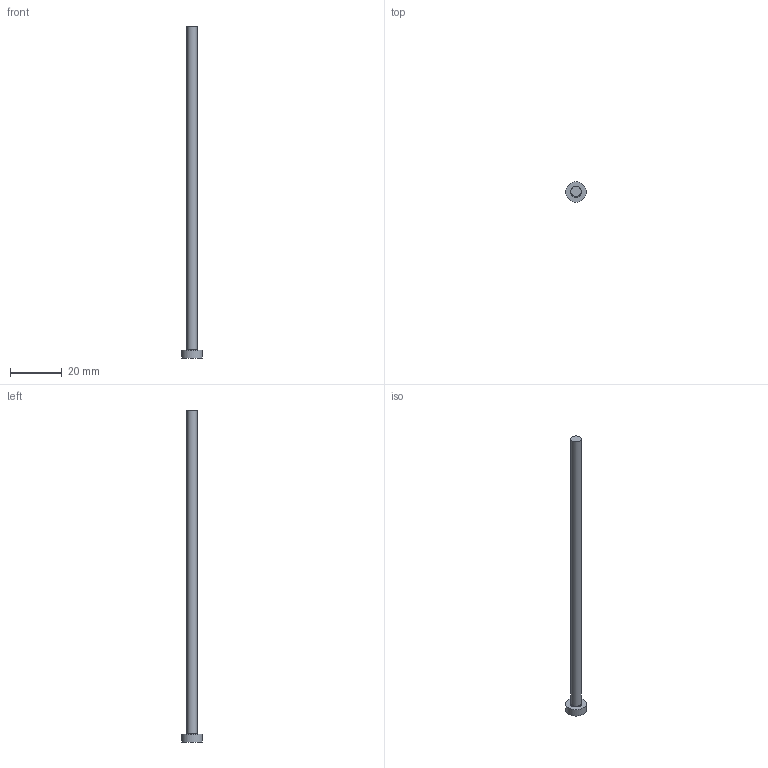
import cadquery as cq

total_length = 128.0
head_diameter = 8.0
head_height = 3.0
shank_diameter = 4.0
neck_fillet_radius = 0.2


def make_head():
    """Flat cylindrical head with its underside on Z = 0."""
    return cq.Workplane("XY").circle(head_diameter / 2).extrude(head_height)


def make_shank():
    """Plain round shank running from the base of the head to the tip."""
    return cq.Workplane("XY").circle(shank_diameter / 2).extrude(total_length)


def round_neck(pin):
    """Fillet the inside corner where the shank leaves the head."""
    neck_edge = cq.selectors.RadiusNthSelector(0)
    return pin.faces("<Z[1]").edges(neck_edge).fillet(neck_fillet_radius)


result = round_neck(make_head().union(make_shank()))